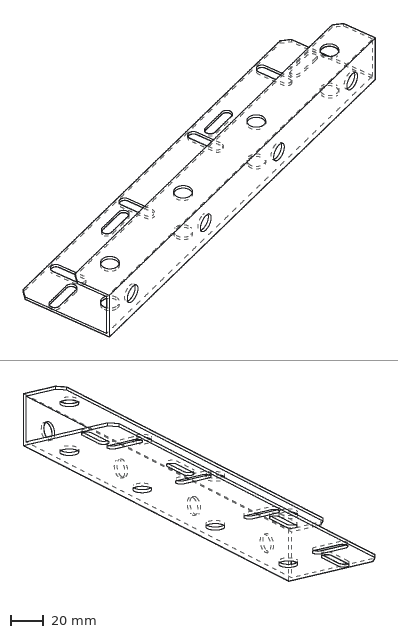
import cadquery as cq

length = 291.0
base_width = 67.5
top_width = 28.8
height = 34.0
thickness = 2.0
corner_chamfer = 5.0

hole_diameter = 11.5
hole_pitch = 80.0
hole_count = 4
hole_edge_distance = 17.0

slot_length = 25.0
slot_width = 7.0
station_pitch = 75.0
cross_slot_x = 14.5
inner_slot_x = 11.3
outer_slot_x = 23.5
slot_spacing = 19.0


def channel():
    """Square-cornered sheet section, open towards -X, centred along Y."""
    return (
        cq.Workplane("XZ")
        .moveTo(0, 0)
        .lineTo(base_width, 0)
        .lineTo(base_width, height)
        .lineTo(base_width - top_width, height)
        .lineTo(base_width - top_width, height - thickness)
        .lineTo(base_width - thickness, height - thickness)
        .lineTo(base_width - thickness, thickness)
        .lineTo(0, thickness)
        .close()
        .extrude(length / 2, both=True)
    )


def chamfer_free_corners(body):
    """Cut the corners at the free edges of the base and top flange."""
    base_corners = body.faces("<X").edges("|Z")
    body = base_corners.chamfer(corner_chamfer)
    top_edge = cq.selectors.BoxSelector(
        (base_width - top_width - thickness, -length, height - 2 * thickness),
        (base_width - top_width + thickness, length, height + thickness),
    )
    return body.edges("|Z").edges(top_edge).chamfer(corner_chamfer)


def round_holes():
    """Drills through both flanges and through the web."""
    vertical = (
        cq.Workplane("XY")
        .center(base_width - hole_edge_distance, 0)
        .rarray(3, hole_pitch, 1, hole_count)
        .circle(hole_diameter / 2)
        .extrude(height)
    )
    sideways = (
        cq.Workplane("YZ", origin=(base_width - 2 * thickness, 0, height / 2))
        .rarray(hole_pitch, 3, hole_count, 1)
        .circle(hole_diameter / 2)
        .extrude(3 * thickness)
    )
    return vertical.union(sideways)


def slot(x, y, angle):
    return cq.Workplane("XY").center(x, y).slot2D(slot_length, slot_width, angle).extrude(thickness)


result = chamfer_free_corners(channel()).cut(round_holes())
for side in (-1, 1):
    for station, lengthwise_x in ((0.5, inner_slot_x), (1.5, outer_slot_x)):
        cross_y = station * station_pitch
        result = result.cut(slot(cross_slot_x, side * cross_y, 0))
        result = result.cut(slot(lengthwise_x, side * (cross_y + slot_spacing), 90))